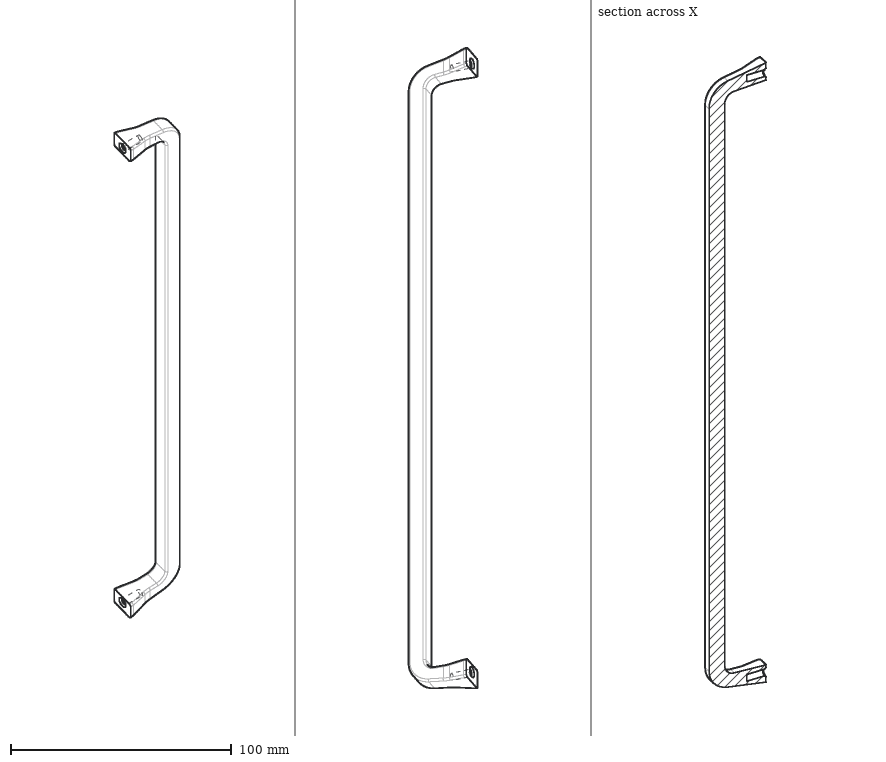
import cadquery as cq
import math

overall_length = 331.0
overall_height = 30.0
foot_width = 12.5

bar_width = 8.5
bar_depth = 8.5

foot_depth = 9.5
outer_lean = math.radians(10.0)
inner_lean = math.radians(3.0)
outer_bend_radius = 12.0
inner_bend_radius = 5.0

foot_pad_height = 1.5
flare_blend_start = 9.2
flare_blend_end = 12.5

edge_radius = 1.0

hole_spacing = 320.0
hole_diameter = 3.3
hole_mouth_diameter = 5.0
hole_depth = 10.0

half_length = overall_length / 2
half_foot_width = foot_width / 2
half_bar_width = bar_width / 2


def bow_region(lean, half_span, height, radius):
    """Block under one side of the bow: leaning ends and two rounded top corners."""
    corner_half_span = half_span - height * math.tan(lean)
    block = (
        cq.Workplane("YZ")
        .polyline([
            (0, half_span),
            (height, corner_half_span),
            (height, -corner_half_span),
            (0, -half_span),
        ])
        .close()
        .extrude(half_foot_width, both=True)
    )
    return block.faces(">Y").edges("|X").fillet(radius)


def bow_body():
    """Bow of constant width: the outer region minus the inner region."""
    outer = bow_region(outer_lean, half_length, overall_height, outer_bend_radius)
    inner_height = overall_height - bar_depth
    inner_half_span = half_length - foot_depth
    inner = bow_region(inner_lean, inner_half_span, inner_height, inner_bend_radius)
    return outer.cut(inner)


def width_envelope():
    """Prism that gives the bow its width: foot pad, straight flare, blend arc, then bar."""
    crossing_y = (flare_blend_start + flare_blend_end) / 2
    flare_angle = math.atan2(half_foot_width - half_bar_width, crossing_y - foot_pad_height)
    tangent_length = flare_blend_end - crossing_y
    blend_x = half_bar_width + tangent_length * math.sin(flare_angle)
    blend_y = crossing_y - tangent_length * math.cos(flare_angle)
    half = (
        cq.Workplane("XY")
        .moveTo(0, 0)
        .lineTo(half_foot_width, 0)
        .lineTo(half_foot_width, foot_pad_height)
        .lineTo(blend_x, blend_y)
        .tangentArcPoint((half_bar_width, flare_blend_end), relative=False)
        .lineTo(half_bar_width, overall_height)
        .lineTo(0, overall_height)
        .close()
        .extrude(half_length, both=True)
    )
    return half.union(half.mirror("YZ"))


def round_long_edges(body):
    """Round the edges running along the bow, leaving the base rims sharp."""
    above_legs = cq.selectors.BoxSelector(
        (-foot_width, flare_blend_end + edge_radius, -half_length),
        (foot_width, overall_height + edge_radius, half_length),
    )
    leg_and_bend_edges = body.edges("not(|X or |Z)")
    bar_edges = body.edges("|Z").edges(above_legs)
    return leg_and_bend_edges.add(bar_edges).fillet(edge_radius)


def screw_hole(z):
    """Blind hole with a 45 degree countersunk mouth, entering a foot from its base."""
    bore_radius = hole_diameter / 2
    mouth_radius = hole_mouth_diameter / 2
    return (
        cq.Workplane("XY", origin=(0, 0, z))
        .polyline([
            (0, 0),
            (mouth_radius, 0),
            (bore_radius, mouth_radius - bore_radius),
            (bore_radius, hole_depth),
            (0, hole_depth),
        ])
        .close()
        .revolve(360, (0, 0, 0), (0, 1, 0))
    )


handle = round_long_edges(bow_body().intersect(width_envelope()))
for hole_z in (-hole_spacing / 2, hole_spacing / 2):
    handle = handle.cut(screw_hole(hole_z))

result = handle